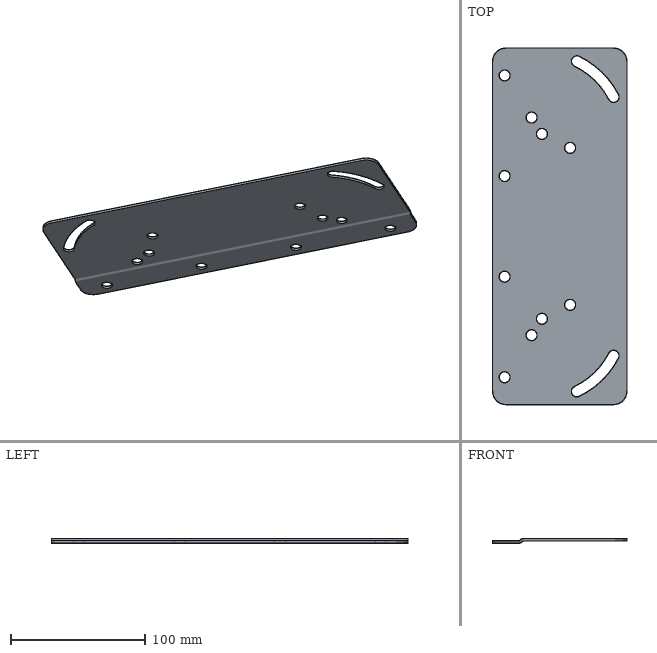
import cadquery as cq
import math

width = 100.0
length = 265.5
height = 3.7
thickness = 2.0
corner_radius = 10.0

joggle_start = -30.5
joggle_end = -26.8
rise = height - thickness

hole_diameter = 8.0
flange_hole_inset = 9.0
flange_hole_pitch = 75.0
flange_hole_count = 4
pivot = (-13.3, 68.8)
panel_holes = [(-21.0, 81.0), pivot, (7.7, 58.5)]

slot_radius = 60.0
slot_width = hole_diameter
slot_mid_angle = 45.8
slot_half_sweep = 18.5


def joggled_sheet():
    """Sheet bent up then back level: two bends of equal angle, each with concentric inner and outer faces."""
    run = joggle_end - joggle_start
    middle_radius = (run**2 + rise**2) / (4 * rise)
    bend_angle = math.asin(run / 2 / middle_radius)
    inner_radius = middle_radius - thickness / 2
    outer_radius = middle_radius + thickness / 2

    def lower_bend(radius, angle):
        return (
            joggle_start + radius * math.sin(angle),
            thickness + inner_radius - radius * math.cos(angle),
        )

    def upper_bend(radius, angle):
        return (
            joggle_end - radius * math.sin(angle),
            rise - inner_radius + radius * math.cos(angle),
        )

    half_angle = bend_angle / 2
    return (
        cq.Workplane("XZ")
        .moveTo(-width / 2, 0)
        .lineTo(joggle_start, 0)
        .threePointArc(lower_bend(outer_radius, half_angle), lower_bend(outer_radius, bend_angle))
        .threePointArc(upper_bend(inner_radius, half_angle), (joggle_end, rise))
        .lineTo(width / 2, rise)
        .lineTo(width / 2, height)
        .lineTo(joggle_end, height)
        .threePointArc(upper_bend(outer_radius, half_angle), upper_bend(outer_radius, bend_angle))
        .threePointArc(lower_bend(inner_radius, half_angle), (joggle_start, thickness))
        .lineTo(-width / 2, thickness)
        .close()
        .extrude(length / 2, both=True)
    )


def round_holes():
    """Cutters for the flange row and for the panel holes mirrored about the X axis."""
    flange_x = -width / 2 + flange_hole_inset
    first_y = -flange_hole_pitch * (flange_hole_count - 1) / 2
    points = [(flange_x, first_y + i * flange_hole_pitch) for i in range(flange_hole_count)]
    for x, y in panel_holes:
        points += [(x, y), (x, -y)]
    return cq.Workplane("XY").pushPoints(points).circle(hole_diameter / 2).extrude(height)


def curved_slot():
    """Cutter for the round-ended arc slot swung about the pivot at positive Y."""
    def polar(radius, degrees):
        angle = math.radians(degrees)
        return (pivot[0] + radius * math.cos(angle), pivot[1] + radius * math.sin(angle))

    inner = slot_radius - slot_width / 2
    outer = slot_radius + slot_width / 2
    start = slot_mid_angle - slot_half_sweep
    end = slot_mid_angle + slot_half_sweep
    return (
        cq.Workplane("XY")
        .moveTo(*polar(inner, start))
        .threePointArc(polar(inner, slot_mid_angle), polar(inner, end))
        .tangentArcPoint(polar(outer, end), relative=False)
        .threePointArc(polar(outer, slot_mid_angle), polar(outer, start))
        .tangentArcPoint(polar(inner, start), relative=False)
        .close()
        .extrude(height)
    )


slot = curved_slot()
plate = joggled_sheet().edges("|Z and (<X or >X)").fillet(corner_radius)
result = plate.cut(round_holes()).cut(slot).cut(slot.mirror("XZ"))